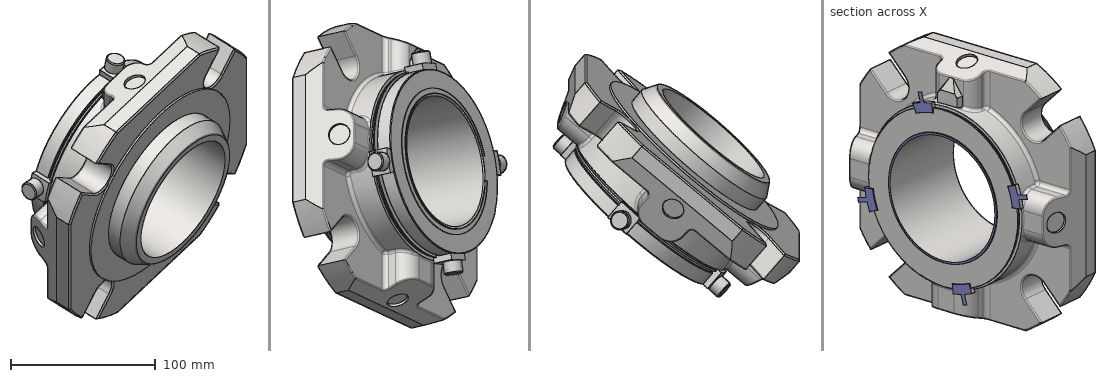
import cadquery as cq
import math


SLEEVE_FRONT = 0.0
SNAP_RING_FRONT = 0.8
COLLAR_FRONT = 1.2
COLLAR_BACK = 12.5
LIP_FRONT = 14.0
LIP_BACK = 15.4
HUB_FRONT = 17.0
FLANGE_FRONT = 38.2
SLOPE_END = 50.0
FLANGE_BACK = 61.8
GASKET_BACK = 63.3
TAPER_START = 73.6
SLEEVE_BACK = 83.4

BORE_D = 92.1
BORE_CHAMFER_D = 95.3
BORE_CHAMFER_DEPTH = 0.5
SLEEVE_D = 95.9
SNAP_RING_D = 103.3
COLLAR_D = 130.1
LIP_D = 131.7
NECK_D = 130.1
HUB_D = 134.8
GASKET_D = 152.0
REAR_D = 114.0
REAR_TIP_D = 103.3
COLLAR_EDGE = 0.5
HUB_FILLET = 2.5
REAR_EDGE = 0.5

FLANGE_SIZE = 194.8
CORNER_D = 215.0
SLOPE_ANGLE = 20.0
SLOT_WIDTH = 22.8
SLOT_CENTER_RADIUS = 86.9
EDGE_ROUND = 1.0
BACK_CHAMFER = 1.2

BOSS_HALF_WIDTH = 18.7
SIDE_BOSS_ARC = 11.7
TOP_BOSS_ARC = 10.0
BOSS_FOOT_FILLET = 3.3
SIDE_BOSS_FRONT = 17.3
SIDE_BOSS_ARC_X = 29.0
TOP_BOSS_FRONT = 23.2
TOP_BOSS_ARC_X = 33.0
BOSS_BASE = 58.5
PORT_D = 15.2
PORT_DEPTH = 2.0
SIDE_PORT_X = 27.5
TOP_PORT_X = 40.3

PAD_FRONT = 18.5
PAD_HALF_WIDTH = 9.7
PAD_TIP_HALF_WIDTH = 1.5
PAD_BASE = 67.0
PAD_DRAFT = 14.0
PAD_EAVE = 75.5
PAD_BEND = 78.0
PAD_TOP = 86.9

CLIP_COUNT = 4
CLIP_TILT = 15.0
CLIP_SPAN = 14.5
CLIP_FRONT = 1.5
CLIP_BACK = 16.4
CLIP_INNER_D = 124.3
CLIP_OUTER_D = 139.1
SCREW_D = 13.0
SCREW_X = 7.0
SCREW_BASE = 69.2
SCREW_TOP = 78.0
SCREW_CHAMFER = 0.8

SNAP_GAP = 20.0

HALF = FLANGE_SIZE / 2
TOLERANCE = 0.02
SLOPE_RISE = math.tan(math.radians(SLOPE_ANGLE))


def about_axis(shape, angle):
    return shape.rotate((0, 0, 0), (1, 0, 0), angle)


def tube(x_start, x_end, outer_d, inner_d):
    base = cq.Workplane("YZ", origin=(x_start, 0, 0))
    return base.circle(outer_d / 2).circle(inner_d / 2).extrude(x_end - x_start)


def sector(x_start, x_end, outer_d, inner_d, start, end):
    """Ring segment between two angles measured from +Y toward +Z."""
    def at(diameter, angle):
        a = math.radians(angle)
        return diameter / 2 * math.cos(a), diameter / 2 * math.sin(a)

    middle = (start + end) / 2
    return (
        cq.Workplane("YZ", origin=(x_start, 0, 0))
        .moveTo(*at(inner_d, start))
        .lineTo(*at(outer_d, start))
        .threePointArc(at(outer_d, middle), at(outer_d, end))
        .lineTo(*at(inner_d, end))
        .threePointArc(at(inner_d, middle), at(inner_d, start))
        .close()
        .extrude(x_end - x_start)
    )


def flange_plate():
    thickness = FLANGE_BACK - FLANGE_FRONT
    base = cq.Workplane("YZ", origin=(FLANGE_FRONT, 0, 0))
    plate = base.rect(FLANGE_SIZE, FLANGE_SIZE).extrude(thickness)
    plate = plate.intersect(base.circle(CORNER_D / 2).extrude(thickness))
    slot = (
        base.center(SLOT_CENTER_RADIUS, 0).circle(SLOT_WIDTH / 2).extrude(thickness)
        .union(base.center(SLOT_CENTER_RADIUS + HALF / 2, 0).rect(HALF, SLOT_WIDTH).extrude(thickness))
    )
    for corner in range(4):
        plate = plate.cut(about_axis(slot, 45 + 90 * corner))
    return plate


def boss(front, arc_x, arc):
    """Upright block of rounded plan that runs out from the hub along +Z."""
    arc_y = BOSS_HALF_WIDTH - arc
    flat = arc_y + math.sqrt(arc ** 2 - (arc_x - front) ** 2)
    mid_angle = (math.pi / 2 + math.atan2(flat - arc_y, front - arc_x)) / 2
    mid = (arc_x + arc * math.cos(mid_angle), arc_y + arc * math.sin(mid_angle))
    foot_x = FLANGE_FRONT - BOSS_FOOT_FILLET
    foot_y = BOSS_HALF_WIDTH + BOSS_FOOT_FILLET
    sag = BOSS_FOOT_FILLET * (1 - math.sqrt(0.5))
    half = (
        cq.Workplane("XY", origin=(0, 0, BOSS_BASE))
        .moveTo(front, 0)
        .lineTo(front, flat)
        .threePointArc(mid, (arc_x, BOSS_HALF_WIDTH))
        .lineTo(foot_x, BOSS_HALF_WIDTH)
        .threePointArc((FLANGE_FRONT - sag, BOSS_HALF_WIDTH + sag), (FLANGE_FRONT, foot_y))
        .lineTo(FLANGE_BACK, foot_y)
        .lineTo(FLANGE_BACK, 0)
        .close()
        .extrude(HALF - BOSS_BASE)
    )
    return half.union(half.mirror("XZ"))


def slope_envelope():
    """Space under the four sloped rim faces."""
    front_half = HALF - SLOPE_RISE * SLOPE_END
    profile = (
        cq.Workplane("XZ", origin=(0, HALF, 0))
        .polyline([(0, front_half), (SLOPE_END, HALF), (FLANGE_BACK, HALF),
                   (FLANGE_BACK, -HALF), (SLOPE_END, -HALF), (0, -front_half)])
        .close()
        .extrude(FLANGE_SIZE)
    )
    return profile.intersect(about_axis(profile, 90))


def port(x):
    """Shallow round recess square to the top sloped face."""
    surface = HALF - SLOPE_RISE * (SLOPE_END - x)
    tilt = math.radians(SLOPE_ANGLE)
    normal = cq.Vector(-math.sin(tilt), 0, math.cos(tilt))
    start = cq.Vector(x, 0, surface) - normal * PORT_DEPTH
    return cq.Workplane(cq.Solid.makeCylinder(PORT_D / 2, 2 * PORT_DEPTH, start, normal))


def nameplate_pad():
    house = (
        cq.Workplane("ZY", origin=(TOP_BOSS_FRONT, 0, 0))
        .polyline([(PAD_BASE, -PAD_HALF_WIDTH), (PAD_BASE, PAD_HALF_WIDTH), (PAD_EAVE, PAD_HALF_WIDTH),
                   (PAD_TOP, PAD_TIP_HALF_WIDTH), (PAD_TOP, -PAD_TIP_HALF_WIDTH),
                   (PAD_EAVE, -PAD_HALF_WIDTH)])
        .close()
        .extrude(TOP_BOSS_FRONT - PAD_FRONT, taper=PAD_DRAFT)
    )
    side = (
        cq.Workplane("XZ", origin=(0, PAD_HALF_WIDTH, 0))
        .polyline([(PAD_FRONT, PAD_BASE), (PAD_FRONT, PAD_BEND), (TOP_BOSS_FRONT, PAD_TOP),
                   (TOP_BOSS_FRONT, PAD_BASE)])
        .close()
        .extrude(2 * PAD_HALF_WIDTH)
    )
    return house.intersect(side)


def sample_points(edge):
    return [edge.positionAt(t) for t in (0.1, 0.5, 0.9)]


def is_rim_edge(edge):
    """Sharp front edges: the flange outline and the outer ends of the bosses."""
    def on_flange_front(p):
        return abs(p.x - FLANGE_FRONT) < TOLERANCE

    def on_slope(p):
        surface = HALF - SLOPE_RISE * (SLOPE_END - p.x)
        return p.x < FLANGE_FRONT and abs(max(abs(p.y), abs(p.z)) - surface) < TOLERANCE

    points = sample_points(edge)
    if all(on_slope(p) for p in points):
        return True
    middle = points[1]
    is_boss_foot = min(abs(middle.y), abs(middle.z)) < BOSS_HALF_WIDTH + BOSS_FOOT_FILLET + TOLERANCE
    return all(on_flange_front(p) for p in points) and not is_boss_foot


def is_hub_edge(edge):
    """Where the hub wall meets the flange and the bosses."""
    return all(
        abs(math.hypot(p.y, p.z) - HUB_D / 2) < TOLERANCE and HUB_FRONT < p.x - TOLERANCE
        for p in sample_points(edge)
    )


def gland():
    plate = flange_plate().union(boss(TOP_BOSS_FRONT, TOP_BOSS_ARC_X, TOP_BOSS_ARC))
    for angle in (90, 180, 270):
        plate = plate.union(about_axis(boss(SIDE_BOSS_FRONT, SIDE_BOSS_ARC_X, SIDE_BOSS_ARC), angle))
    plate = plate.intersect(slope_envelope())
    plate = plate.edges(">X").chamfer(BACK_CHAMFER)
    plate = plate.edges().filter(is_rim_edge).fillet(EDGE_ROUND)
    hub = tube(HUB_FRONT, FLANGE_BACK - BACK_CHAMFER, HUB_D, BORE_D)
    body = plate.union(hub)
    body = body.edges().filter(is_hub_edge).fillet(HUB_FILLET)

    body = body.cut(port(TOP_PORT_X))
    body = body.cut(about_axis(port(TOP_PORT_X), 180))
    for angle in (90, 270):
        body = body.cut(about_axis(port(SIDE_PORT_X), angle))

    body = body.union(nameplate_pad())
    body = body.union(tube(LIP_FRONT, LIP_BACK, LIP_D, BORE_D))
    body = body.union(tube(LIP_BACK, HUB_FRONT, NECK_D, BORE_D))
    gasket = tube(FLANGE_BACK, GASKET_BACK, GASKET_D, BORE_D)
    return body.union(gasket)


def drive_collar():
    base = cq.Workplane("YZ", origin=(COLLAR_FRONT, 0, 0))
    collar = base.circle(COLLAR_D / 2).extrude(COLLAR_BACK - COLLAR_FRONT)
    return collar.edges().chamfer(COLLAR_EDGE)


def sleeve():
    """Sleeve running the full length, flared behind the flange."""
    return (
        cq.Workplane("XY")
        .polyline([(SLEEVE_FRONT, 0), (SLEEVE_FRONT, SLEEVE_D / 2), (GASKET_BACK, SLEEVE_D / 2),
                   (GASKET_BACK, REAR_D / 2), (TAPER_START, REAR_D / 2),
                   (SLEEVE_BACK - REAR_EDGE, REAR_TIP_D / 2), (SLEEVE_BACK, REAR_TIP_D / 2 - REAR_EDGE),
                   (SLEEVE_BACK, 0)])
        .close()
        .revolve(360, (0, 0, 0), (1, 0, 0))
    )


def clip_and_screw():
    """Centering clip bridging the collar and the hub, with its screw standing along +Z."""
    clip = sector(CLIP_FRONT, CLIP_BACK, CLIP_OUTER_D, CLIP_INNER_D, 90 - CLIP_SPAN / 2, 90 + CLIP_SPAN / 2)
    screw = (
        cq.Workplane("XY", origin=(SCREW_X, 0, SCREW_BASE))
        .circle(SCREW_D / 2)
        .extrude(SCREW_TOP - SCREW_BASE)
        .faces(">Z")
        .chamfer(SCREW_CHAMFER)
    )
    return clip.union(screw)


def bore():
    """Through hole with a chamfered front mouth."""
    hole = cq.Workplane("YZ").circle(BORE_D / 2).extrude(SLEEVE_BACK)
    mouth = cq.Solid.makeCone(
        BORE_CHAMFER_D / 2, BORE_D / 2, BORE_CHAMFER_DEPTH, cq.Vector(0, 0, 0), cq.Vector(1, 0, 0)
    )
    return hole.union(cq.Workplane(mouth))


snap_ring = sector(SNAP_RING_FRONT, COLLAR_BACK, SNAP_RING_D, BORE_D, -180, 180 - SNAP_GAP)

result = gland().union(drive_collar()).union(sleeve()).union(snap_ring)
for index in range(CLIP_COUNT):
    result = result.union(about_axis(clip_and_screw(), 360 / CLIP_COUNT * index - CLIP_TILT))
result = result.cut(bore())